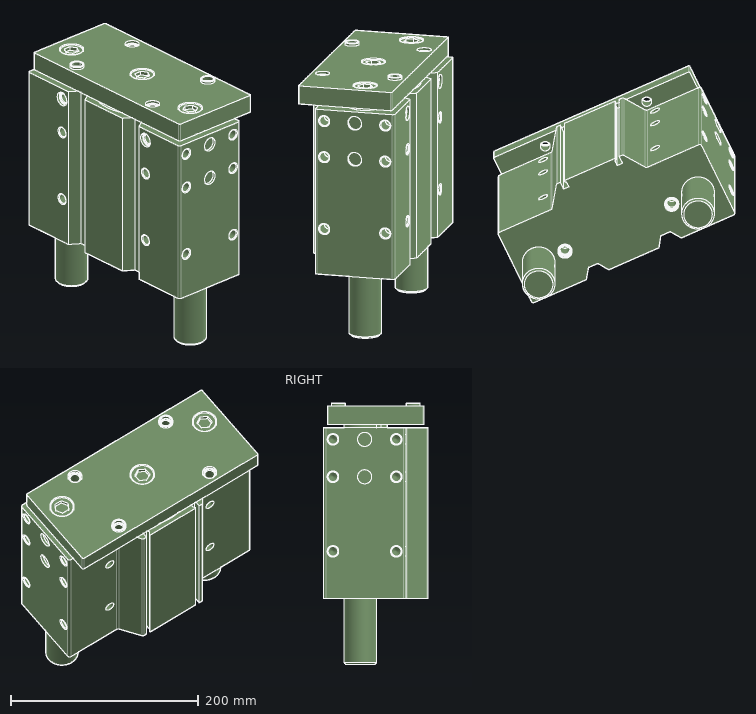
import cadquery as cq
import math

width = 240.0
depth = 112.0
housing_height = 183.0
shoulder_y = 32.2
corner_radius = 2.5
groove_mouth_inner = 29.7
groove_mouth_outer = 56.0
groove_floor_inner = 37.2
groove_floor_outer = 48.1
groove_depth = 11.5
back_half_width = 39.2
back_foot_half_width = 55.7
slot_outer = 34.7
slot_inner = 30.0
slot_undercut = 1.5
slot_lip = 1.7
slot_depth = 8.5
plate_width = 231.5
plate_depth = 103.5
plate_thickness = 20.2
plate_gap = 3.0
plate_corner = 1.5
rod_diameter = 35.0
rod_x = 94.0
rod_y = -16.5
rod_projection = 70.5
rod_chamfer = 2.2
piston_rod_diameter = 25.0
piston_rod_flats = 22.0
head_diameter = 24.0
head_recess_diameter = 26.0
head_sink = 0.98
head_recess_depth = 16.8
hex_across_flats = 14.0
hex_depth = 4.2
cap_diameter = 102.0
cap_thickness = 14.0
sleeve_diameter = 15.0
sleeve_bore = 12.3
sleeve_projection = 3.0
sleeve_length = 2 * sleeve_projection
sleeve_chamfer = 0.5
thread_diameter = 10.4
thread_rim_diameter = 12.3
blind_depth = 19.5
drill_tip_angle = 118.0
plate_hole_x = 60.0
plate_hole_y = 40.0
bottom_hole_x = 63.0
front_hole_x = 66.0
hole_heights = (50.7, 130.5, 170.5)
side_hole_spacing = 67.7
port_diameter = 15.0
port_depth = 3.0
port_heights = hole_heights[1:]

front_y = -depth / 2
back_y = depth / 2
side_x = width / 2
wing_middle_y = (front_y + shoulder_y) / 2
plate_bottom = housing_height + plate_gap
plate_top = plate_bottom + plate_thickness
cap_bottom = housing_height - cap_thickness
thread_rim = (thread_rim_diameter - thread_diameter) / 2
rod_places = [(-rod_x, rod_y), (rod_x, rod_y)]
screw_places = [(-rod_x, rod_y), (0, 0), (rod_x, rod_y)]
bottom_places = [(-bottom_hole_x, rod_y), (bottom_hole_x, rod_y)]
plate_sleeve_places = [(-plate_hole_x, -plate_hole_y), (plate_hole_x, plate_hole_y)]


def cylinder(diameter, start, direction, length):
    return cq.Workplane(cq.Solid.makeCylinder(diameter / 2, length, cq.Vector(*start), cq.Vector(*direction)))


def cone(start_diameter, end_diameter, start, direction, length):
    start_radius = start_diameter / 2
    end_radius = end_diameter / 2
    return cq.Workplane(
        cq.Solid.makeCone(start_radius, end_radius, length, cq.Vector(*start), cq.Vector(*direction))
    )


def rim_cone(start, direction):
    """Chamfer at the mouth of a screw hole."""
    return cone(thread_rim_diameter, thread_diameter, start, direction, thread_rim)


def blind_hole(start, direction):
    """Chamfered screw hole with a conical drill tip."""
    tip_length = thread_diameter / 2 / math.tan(math.radians(drill_tip_angle / 2))
    tip_start = [s + d * blind_depth for s, d in zip(start, direction)]
    tip = cone(thread_diameter, 0, tip_start, direction, tip_length)
    shaft = cylinder(thread_diameter, start, direction, blind_depth)
    return shaft.union(tip).union(rim_cone(start, direction))


def housing_block():
    right_half = [
        (groove_mouth_inner, front_y),
        (groove_floor_inner, front_y + groove_depth),
        (groove_floor_outer, front_y + groove_depth),
        (groove_mouth_outer, front_y),
        (side_x, front_y),
        (side_x, shoulder_y),
        (back_foot_half_width, shoulder_y),
        (back_half_width, back_y),
        (slot_outer, back_y),
        (slot_outer, back_y - slot_depth),
        (slot_inner - slot_undercut, back_y - slot_depth),
        (slot_inner - slot_undercut, back_y - slot_lip - slot_undercut),
        (slot_inner, back_y - slot_lip),
        (slot_inner, back_y),
    ]
    left_half = [(-x, y) for x, y in reversed(right_half)]
    block = cq.Workplane("XY").polyline(right_half + left_half).close().extrude(housing_height)
    rounded_corners = [(side_x, front_y), (side_x, shoulder_y)]
    rounded_corners += [(back_foot_half_width, shoulder_y), (back_half_width, back_y)]
    for x, y in rounded_corners:
        for corner in ((-x, y, housing_height / 2), (x, y, housing_height / 2)):
            block = block.edges(cq.selectors.NearestToPointSelector(corner)).fillet(corner_radius)
    return block


def cut_front_holes(body):
    """Screw holes from front to back; the top pair has sleeve seats at the front."""
    for x in (-front_hole_x, front_hole_x):
        for z in hole_heights:
            seat_depth = sleeve_projection if z == max(hole_heights) else 0
            body = body.cut(cylinder(thread_diameter, (x, front_y, z), (0, 1, 0), depth))
            body = body.cut(rim_cone((x, front_y + seat_depth, z), (0, 1, 0)))
            if seat_depth:
                body = body.cut(cylinder(sleeve_diameter, (x, front_y, z), (0, 1, 0), seat_depth))
    return body


def cut_side_holes(body):
    for side in (-1, 1):
        face_x = side * side_x
        inward = (-side, 0, 0)
        for z in hole_heights:
            for offset in (-side_hole_spacing / 2, side_hole_spacing / 2):
                body = body.cut(blind_hole((face_x, wing_middle_y + offset, z), inward))
        for z in port_heights:
            body = body.cut(cylinder(port_diameter, (face_x, wing_middle_y, z), inward, port_depth))
    return body


def cut_bottom_holes(body):
    for x, y in bottom_places:
        body = body.cut(blind_hole((x, y, sleeve_projection), (0, 0, 1)))
        body = body.cut(cylinder(sleeve_diameter, (x, y, 0), (0, 0, 1), sleeve_projection))
    return body


def make_housing():
    body = housing_block()
    for x, y in rod_places:
        body = body.cut(cylinder(rod_diameter, (x, y, 0), (0, 0, 1), housing_height))
    body = body.cut(cylinder(cap_diameter, (0, 0, cap_bottom), (0, 0, 1), cap_thickness))
    body = cut_front_holes(body)
    body = cut_side_holes(body)
    return cut_bottom_holes(body)


def make_end_cap():
    disc = cylinder(cap_diameter, (0, 0, cap_bottom), (0, 0, 1), cap_thickness)
    return disc.cut(cylinder(piston_rod_diameter, (0, 0, cap_bottom), (0, 0, 1), cap_thickness))


def plate_block():
    block = (
        cq.Workplane("XY", origin=(0, 0, plate_bottom))
        .rect(plate_width, plate_depth)
        .extrude(plate_thickness)
        .edges("|Z")
        .fillet(plate_corner)
    )
    for x in (-plate_hole_x, plate_hole_x):
        for y in (-plate_hole_y, plate_hole_y):
            seat_bottom = plate_top - sleeve_projection
            block = block.cut(cylinder(thread_diameter, (x, y, plate_bottom), (0, 0, 1), plate_thickness))
            block = block.cut(cylinder(sleeve_diameter, (x, y, seat_bottom), (0, 0, 1), sleeve_projection))
            block = block.cut(rim_cone((x, y, seat_bottom), (0, 0, -1)))
    return block


def cut_screw_heads(body):
    """Counterbore around each sunk screw head and the hexagon socket in the head."""
    hex_corners = hex_across_flats / math.cos(math.radians(30))
    head_top = plate_top - head_sink
    recess_bottom = plate_top - head_recess_depth
    for x, y in screw_places:
        turn = 0 if x > 0 else 30
        recess = cylinder(head_recess_diameter, (x, y, recess_bottom), (0, 0, 1), head_recess_depth)
        head = cylinder(head_diameter, (x, y, recess_bottom), (0, 0, 1), head_top - recess_bottom)
        socket = (
            cq.Workplane("XY", origin=(x, y, head_top))
            .transformed(rotate=(0, 0, turn))
            .polygon(6, hex_corners)
            .extrude(-hex_depth)
        )
        body = body.cut(recess.cut(head)).cut(socket)
    return body


def guide_rod(x, y):
    length = plate_bottom + rod_projection
    return cylinder(rod_diameter, (x, y, -rod_projection), (0, 0, 1), length).faces("<Z").chamfer(rod_chamfer)


def piston_rod():
    round_part = cylinder(piston_rod_diameter, (0, 0, cap_bottom), (0, 0, 1), cap_thickness)
    neck = cylinder(piston_rod_diameter, (0, 0, housing_height), (0, 0, 1), plate_gap)
    flats = cq.Workplane("XY", origin=(0, 0, housing_height)).rect(piston_rod_flats, depth).extrude(plate_gap)
    return round_part.union(neck.intersect(flats))


def make_moving_plate():
    body = plate_block().union(piston_rod())
    for x, y in rod_places:
        body = body.union(guide_rod(x, y))
    return cut_screw_heads(body)


def make_sleeve(x, y, middle_z):
    """Short tube seated to half its length."""
    tube = (
        cq.Workplane("XY", origin=(x, y, middle_z - sleeve_length / 2))
        .circle(sleeve_diameter / 2)
        .circle(sleeve_bore / 2)
        .extrude(sleeve_length)
    )
    return tube.faces("<Z or >Z").edges().chamfer(sleeve_chamfer)


housing = make_housing()
end_cap = make_end_cap()
moving_plate = make_moving_plate()
sleeves = [make_sleeve(x, y, plate_top) for x, y in plate_sleeve_places]
sleeves += [make_sleeve(x, y, 0) for x, y in bottom_places]

result = cq.Compound.makeCompound(
    [housing.val(), end_cap.val(), moving_plate.val()] + [sleeve.val() for sleeve in sleeves]
)